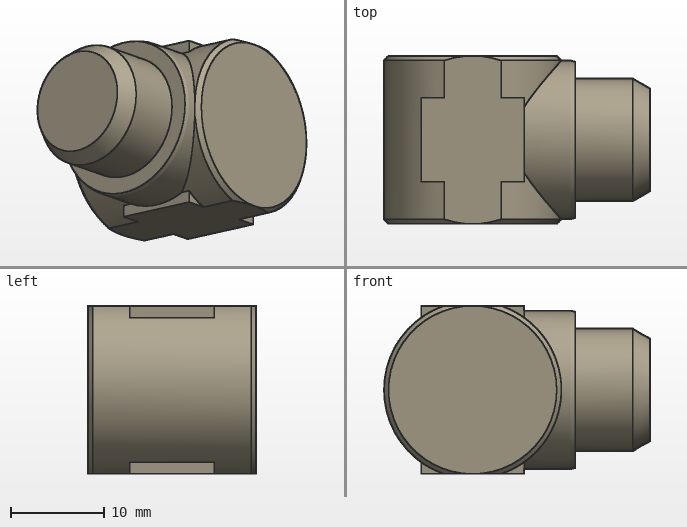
import cadquery as cq
import math

body_diameter = 19.0
body_length = 18.0
body_height = 18.0
body_chamfer = 0.5

pad_length = 11.0
pad_width = 9.0

collar_diameter = 17.0
collar_end = 11.0
collar_chamfer_length = 0.5
collar_chamfer_angle = 15.0
spigot_diameter = 13.157
spigot_tip_diameter = 11.0
spigot_end = 19.0
spigot_taper_angle = 30.0


def make_body():
    """Cylinder centred on the origin, chamfered at both ends, with flat top and bottom."""
    cylinder = (
        cq.Workplane("XZ")
        .circle(body_diameter / 2)
        .extrude(body_length / 2, both=True)
        .faces("<Y or >Y")
        .chamfer(body_chamfer)
    )
    envelope = cq.Workplane("XY").box(body_diameter, body_length, body_height)
    return cylinder.intersect(envelope)


def make_pads():
    """Block through the body whose ends form the top and bottom pads."""
    return cq.Workplane("XY").box(pad_length, pad_width, body_height)


def make_branch():
    """Collar and tapered spigot, revolved about the X axis."""
    collar_radius = collar_diameter / 2
    spigot_radius = spigot_diameter / 2
    tip_radius = spigot_tip_diameter / 2
    collar_chamfer_depth = collar_chamfer_length * math.tan(math.radians(collar_chamfer_angle))
    taper_length = (spigot_radius - tip_radius) / math.tan(math.radians(spigot_taper_angle))
    half_profile = (
        cq.Workplane("XY")
        .moveTo(0, 0)
        .lineTo(0, collar_radius)
        .lineTo(collar_end - collar_chamfer_length, collar_radius)
        .lineTo(collar_end, collar_radius - collar_chamfer_depth)
        .lineTo(collar_end, spigot_radius)
        .lineTo(spigot_end - taper_length, spigot_radius)
        .lineTo(spigot_end, tip_radius)
        .lineTo(spigot_end, 0)
        .close()
    )
    return half_profile.revolve(360, (0, 0, 0), (1, 0, 0))


result = make_body().union(make_pads()).union(make_branch())